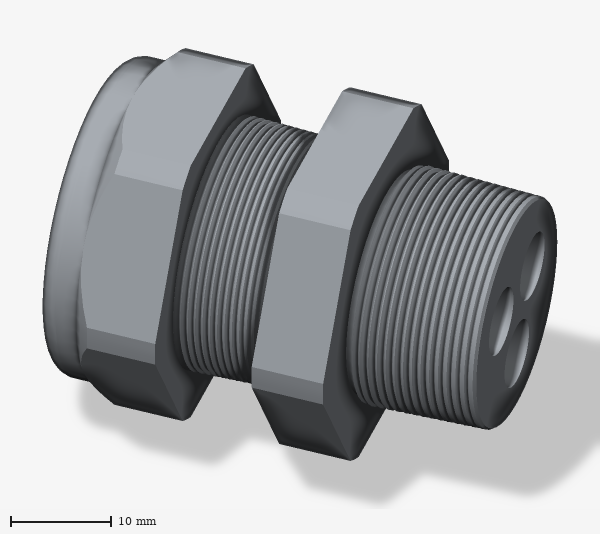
import cadquery as cq
import math

overall_length = 44.95
collar_length = 4.15
cap_end = 13.2
flange_start = 23.45
flange_end = 31.05

across_flats = 33.0
corner_diameter = 36.65
collar_radius = across_flats / 2
corner_radius = corner_diameter / 2
nose_rounding = 2.0

groove_half_angle_tan = math.tan(math.radians(30))
crest_taper = 1 / 32

middle_groove_count = 14
middle_root_radius = 12.5
middle_pitch = (flange_start - cap_end) / (middle_groove_count - 0.5)

end_groove_count = 15
end_root_radius = 11.6
end_pitch = 0.9
relief_radius = 0.9
relief_length = 0.85
relief_rise = relief_radius - math.sqrt(relief_radius**2 - relief_length**2)

insert_radius = 9.0
rim_width = 0.22
recess_depth = 0.5
cable_hole_count = 3
cable_hole_radius = 3.55
cable_hole_offset = 5.2
first_hole_angle = -90


def cylinder(start, end, radius):
    """Solid cylinder on the X axis between two stations."""
    return cq.Workplane("YZ", origin=(start, 0, 0)).circle(radius).extrude(end - start)


def revolve_about_axis(profile):
    """Full turn of a closed XY half-profile about the X axis."""
    return profile.close().revolve(360, (0, 0, 0), (1, 0, 0))


def hexagon(start, end):
    """Hexagonal prism with its corners turned to the corner diameter."""
    across_corners = across_flats / math.cos(math.radians(30))
    prism = cq.Workplane("YZ", origin=(start, 0, 0)).polygon(6, across_corners).extrude(end - start)
    return prism.intersect(cylinder(start, end, corner_radius))


def make_cap():
    """Rounded nose followed by a hexagon with a 45 degree front chamfer."""
    nose = cylinder(0, collar_length, collar_radius).faces("<X").edges().fillet(nose_rounding)
    chamfer = corner_radius - collar_radius
    chamfer_envelope = revolve_about_axis(
        cq.Workplane("XY")
        .moveTo(collar_length, 0)
        .lineTo(collar_length, collar_radius)
        .lineTo(collar_length + chamfer, corner_radius)
        .lineTo(cap_end, corner_radius)
        .lineTo(cap_end, 0)
    )
    return nose.union(hexagon(collar_length, cap_end).intersect(chamfer_envelope))


def groove_points(first_root, count, pitch, root_radius):
    """Crest, root, crest for each groove; the depth shrinks with the crest taper."""
    sharp_depth = pitch / 2 / groove_half_angle_tan
    points = []
    for index in range(count):
        root = first_root + index * pitch
        depth = sharp_depth - crest_taper * (index + 0.5) * pitch
        half_width = depth * groove_half_angle_tan
        points.append((root - half_width, root_radius + depth))
        points.append((root, root_radius))
        points.append((root + half_width, root_radius + depth))
    return points


def make_middle_thread():
    """Threaded shank between cap and flange; its last root lies on the flange face."""
    first_root = cap_end + middle_pitch / 2
    grooves = groove_points(first_root, middle_groove_count, middle_pitch, middle_root_radius)
    to_flange = grooves[:-1]
    first_crest_radius = to_flange[0][1]
    return revolve_about_axis(
        cq.Workplane("XY")
        .moveTo(cap_end, 0)
        .lineTo(cap_end, first_crest_radius)
        .polyline(to_flange, includeCurrent=True)
        .lineTo(flange_start, 0)
    )


def make_end_thread():
    """Threaded shank behind the flange, with a concave relief ahead of the first root."""
    lip_x = flange_end + relief_length
    lip_radius = end_root_radius + relief_rise
    half_sweep = math.asin(relief_length / relief_radius) / 2
    relief_middle = (
        flange_end + relief_radius * math.sin(half_sweep),
        end_root_radius + relief_radius * (1 - math.cos(half_sweep)),
    )
    first_root = lip_x + relief_rise * groove_half_angle_tan
    grooves = groove_points(first_root, end_groove_count, end_pitch, end_root_radius)
    after_lip = grooves[1:]
    shank = revolve_about_axis(
        cq.Workplane("XY")
        .moveTo(flange_end, 0)
        .lineTo(flange_end, end_root_radius)
        .threePointArc(relief_middle, (lip_x, lip_radius))
        .polyline(after_lip, includeCurrent=True)
        .lineTo(after_lip[-1][0], 0)
    )
    return shank.intersect(cylinder(flange_end, overall_length, collar_radius))


def make_housing():
    """Cap, flange and both threads in one piece, bored through for the insert."""
    housing = (
        make_cap()
        .union(make_middle_thread())
        .union(hexagon(flange_start, flange_end))
        .union(make_end_thread())
    )
    return housing.cut(cylinder(0, overall_length, insert_radius))


def make_insert():
    """Plug filling the bore, with a recessed face and a ring of cable holes."""
    plug = cylinder(0, overall_length, insert_radius)
    plug = plug.cut(cylinder(0, recess_depth, insert_radius - rim_width))
    cable_holes = (
        cq.Workplane("YZ")
        .polarArray(cable_hole_offset, first_hole_angle, 360, cable_hole_count)
        .circle(cable_hole_radius)
        .extrude(overall_length)
    )
    return plug.cut(cable_holes)


housing = make_housing()
insert = make_insert()

result = cq.Compound.makeCompound([housing.val(), insert.val()])